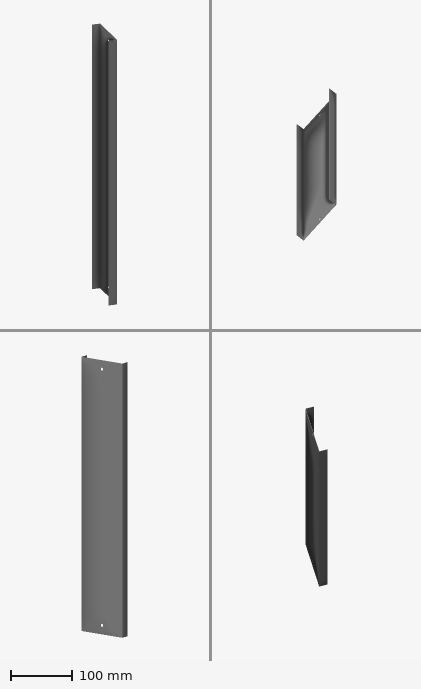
import cadquery as cq

WIDTH = 83.2
DEPTH = 14.6
LENGTH = 460.0

SHEET_THICKNESS = 0.6

HOLE_DIAMETER = 5.0
HOLE_END_DISTANCE = 15.0
HOLE_SPACING = LENGTH - 2 * HOLE_END_DISTANCE


def sheet_channel():
    """U-channel standing along Z, centred on X and Z, with its web at +Y and open towards -Y."""
    outer = cq.Workplane("XY").box(WIDTH, DEPTH, LENGTH, centered=(True, False, True))
    return outer.faces("<Y or <Z or >Z").shell(-SHEET_THICKNESS)


def web_holes():
    """Cylinders along Y that pierce the web."""
    return (
        cq.Workplane("XZ", origin=(0, DEPTH, 0))
        .rarray(1, HOLE_SPACING, 1, 2)
        .circle(HOLE_DIAMETER / 2)
        .extrude(DEPTH)
    )


result = sheet_channel().cut(web_holes())